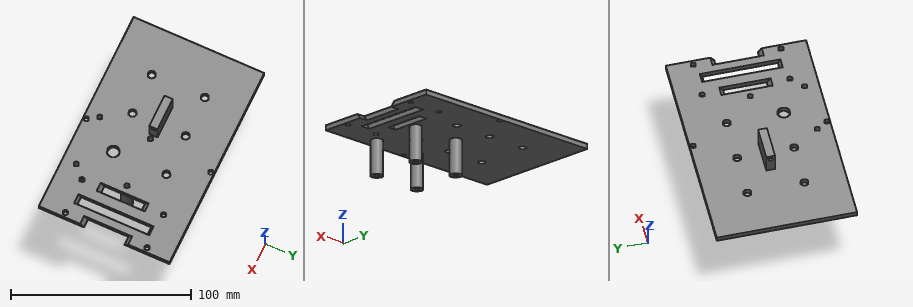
import cadquery as cq

plate_length = 125
plate_width = 80
plate_thickness = 3.0

block_length = 20
block_width = 5
block_height = 12.0
block_center_x = -12.5
bore_diameter = 2.4
bore_depth_below_top = 2.6

standoff_diameter = 7.0
standoff_length = 21.0
standoff_pitch = 31.0
standoff_center_x = 15.4
standoff_center_y = -16.2

screw_diameter = 3.0
edge_hole_x = 3.9
edge_hole_y = 38.1
corner_hole_center_x = 48.9
corner_hole_pitch_x = 21.8
corner_hole_pitch_y = 50
large_hole_diameter = 4.5
large_hole_pitch_x = 25.4
large_hole_y = 16.2
shaft_hole_diameter = 7.0

slot_center_x = 49.6
slot_width = 5.8
slot_top_length = 46.0
slot_bottom_length = 42.9
side_slot_left_x = 35.4
notch_left_x = 57.2
side_slot_width = plate_length / 2 - notch_left_x
side_slot_top_length = 29.4
side_slot_bottom_length = 24.8


def rectangle_points(center_x, center_y, pitch_x, pitch_y):
    """Four corners of a rectangular hole pattern."""
    return [
        (center_x + side_x * pitch_x / 2, center_y + side_y * pitch_y / 2)
        for side_x in (-1, 1)
        for side_y in (-1, 1)
    ]


def vertical_cylinders(points, diameter, top_z, length):
    """Cylinders hanging down from top_z."""
    return cq.Workplane("XY", origin=(0, 0, top_z)).pushPoints(points).circle(diameter / 2).extrude(-length)


def tapered_slot(left_x, width, top_length, bottom_length):
    """Cutter with a trapezoid section in YZ, extruded along X."""
    section = [
        (-top_length / 2, 0),
        (top_length / 2, 0),
        (bottom_length / 2, -plate_thickness),
        (-bottom_length / 2, -plate_thickness),
    ]
    return cq.Workplane("YZ", origin=(left_x, 0, 0)).polyline(section).close().extrude(width)


result = cq.Workplane("XY").box(plate_length, plate_width, plate_thickness, centered=(True, True, False))
result = result.translate((0, 0, -plate_thickness))
block = cq.Workplane("XY").box(block_length, block_width, block_height, centered=(True, True, False))
bore = (
    cq.Workplane("YZ", origin=(-block_length / 2, 0, block_height - bore_depth_below_top))
    .circle(bore_diameter / 2)
    .extrude(block_length)
)
result = result.union(block.cut(bore).translate((block_center_x, 0, 0)))

standoff_points = rectangle_points(standoff_center_x, standoff_center_y, standoff_pitch, standoff_pitch)
result = result.union(vertical_cylinders(standoff_points, standoff_diameter, -plate_thickness, standoff_length))
result = result.cut(vertical_cylinders(standoff_points, screw_diameter, 0, plate_thickness + standoff_length))

screw_points = [(edge_hole_x, -edge_hole_y), (edge_hole_x, edge_hole_y)]
screw_points += rectangle_points(corner_hole_center_x, 0, corner_hole_pitch_x, corner_hole_pitch_y)
result = result.cut(vertical_cylinders(screw_points, screw_diameter, 0, plate_thickness))

large_hole_points = [
    (standoff_center_x - column * large_hole_pitch_x, row * large_hole_y)
    for column in range(3)
    for row in (-1, 1)
]
shaft_point = large_hole_points.pop(0)
result = result.cut(vertical_cylinders(large_hole_points, large_hole_diameter, 0, plate_thickness))
result = result.cut(vertical_cylinders([shaft_point], shaft_hole_diameter, 0, plate_thickness))

slot_left_x = slot_center_x - slot_width / 2
result = result.cut(tapered_slot(slot_left_x, slot_width, slot_top_length, slot_bottom_length))
for left_x in (side_slot_left_x, notch_left_x):
    result = result.cut(tapered_slot(left_x, side_slot_width, side_slot_top_length, side_slot_bottom_length))